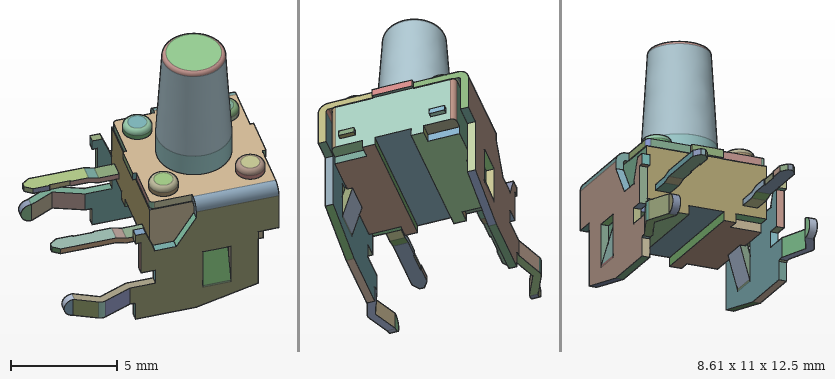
import cadquery as cq
import math


BODY_HALF = 3.1
BODY_BACK_FILLET = 0.25
BASE_NOTCH_WIDTH = 1.8
BODY_BOTTOM = -0.03
BASE_TOP = 0.42
RELIEF_INNER_X = 1.52
RELIEF_INNER_Y = 2.48

SHEET = 0.4
COVER_TOP = 3.5
COVER_BOTTOM = COVER_TOP - SHEET
COVER_HALF = 3.06
COVER_CORNER_RADIUS = 0.2
COVER_TAB_Y = 3.24
FRONT_TAB_WIDTH = 1.62
BACK_TAB_WIDTH = 2.0
BEND_FRONT_Y = -1.0

BRACKET_OUTER_X = 3.73
BRACKET_INNER_X = BRACKET_OUTER_X - SHEET
BEND_RADIUS = 0.53
BRACKET_BOTTOM = -2.96
BRACKET_FRONT_Y = -3.98
BRACKET_BACK_Y = 2.04
BRACKET_STEP_Z = 0.98
BRACKET_SLOPE_Z = -2.22
RECESS_BACK_Y = -3.0
RECESS_TOP = -0.15
HOOK_NECK_Y = -3.71
HOOK_BACK_Y = -3.48
HOOK_BOTTOM = 1.73
HOOK_TOP = 2.26
GAP_FRONT_Y = -3.05
GAP_BACK_Y = -1.98
GAP_BOTTOM = 1.07
GAP_WALL_TOP = 1.17
FRONT_SLOPE_TOP = 2.61
WINDOW_BACK_Y = 0.7
WINDOW_FRONT_Y = -0.68
WINDOW_TOP = 0.41
WINDOW_BOTTOM = -1.79
TONGUE_BEND_HEIGHT = 0.09
TONGUE_BEND_SHIFT = 0.01
TONGUE_TIP_X = 3.1

LEG_HEIGHT = 1.0
LEG_MID_Z = -1.45
LEG_GUSSET = 0.07
LEG_TIP_Y = -7.48
LEG_SPAN = 8.61
LEG_KNEE_X = LEG_SPAN / 2
LEG_KNEE_Y = -5.77
LEG_ROOT_Y = -4.33
LEG_RETURN_Y = -6.95

PLUNGER_DIAMETER = 3.6
PLUNGER_TIP_DIAMETER = 3.0
PLUNGER_TOP = 9.54
PLUNGER_TAPER_Z = 4.65
PLUNGER_FILLET = 0.2
RIVET_DIAMETER = 1.4
RIVET_HEIGHT = 0.48
RIVET_FILLET = 0.25
RIVET_OFFSET = 2.13

PIN_X = 2.25
PIN_WIDTH = 0.76
PIN_THICKNESS = 0.3
PIN_BACK_Z = 0.9
PIN_RISE = 0.14
PIN_BACK_Y = 3.32
PIN_FRONT_Y = -7.68
PIN_JOG_START_Y = -4.1
PIN_JOG_END_Y = -4.6
PIN_TAPER_Y = -7.32
PIN_TIP_WIDTH = 0.24
PIN_RELIEF_DEPTH = 0.05
PIN_RELIEF_START_Y = -5.5
PIN_RELIEF_END_Y = -6.5


def box(x0, x1, y0, y1, z0, z1):
    """Axis-aligned block between two opposite corners."""
    return cq.Workplane("XY").box(x1 - x0, y1 - y0, z1 - z0, centered=False).translate((x0, y0, z0))


def side_profile(sketch, x0, x1):
    """Extrude a closed (y, z) sketch from x0 to x1."""
    return sketch.extrude(x1 - x0).translate((x0, 0, 0))


def mirrored_in_x(shape):
    return shape.union(shape.mirror("YZ"))


def make_body():
    body = box(-BODY_HALF, BODY_HALF, -BODY_HALF, BODY_HALF, BODY_BOTTOM, COVER_BOTTOM)
    body = body.edges("|Z and >Y").fillet(BODY_BACK_FILLET)
    relief = box(RELIEF_INNER_X, BODY_HALF, RELIEF_INNER_Y, BODY_HALF, BODY_BOTTOM, BASE_TOP)
    reliefs = mirrored_in_x(relief.union(relief.mirror("XZ")))
    notch_half = BASE_NOTCH_WIDTH / 2
    notch = box(-notch_half, notch_half, -BODY_HALF, BODY_HALF, BODY_BOTTOM, BASE_TOP)
    return body.cut(reliefs).cut(notch)


def make_cover():
    plate = box(-COVER_HALF, COVER_HALF, -COVER_HALF, COVER_HALF, COVER_BOTTOM, COVER_TOP)
    plate = plate.edges("|Z and <Y").fillet(COVER_CORNER_RADIUS)
    front_half = FRONT_TAB_WIDTH / 2
    back_half = BACK_TAB_WIDTH / 2
    front_tab = box(-front_half, front_half, -COVER_TAB_Y, 0, COVER_BOTTOM, COVER_TOP)
    back_tab = box(-back_half, back_half, 0, COVER_TAB_Y, COVER_BOTTOM, COVER_TOP)
    return plate.union(front_tab).union(back_tab)


def make_bend():
    """Quarter bend that carries the cover sheet down into the right-hand bracket."""
    bend_x = BRACKET_OUTER_X - BEND_RADIUS
    bend_z = COVER_TOP - BEND_RADIUS
    inner_radius = BEND_RADIUS - SHEET
    diagonal = math.sqrt(0.5)
    bend = (
        cq.Workplane("XZ")
        .moveTo(0, COVER_TOP)
        .lineTo(bend_x, COVER_TOP)
        .threePointArc(
            (bend_x + BEND_RADIUS * diagonal, bend_z + BEND_RADIUS * diagonal),
            (BRACKET_OUTER_X, bend_z),
        )
        .lineTo(BRACKET_INNER_X, bend_z)
        .threePointArc(
            (bend_x + inner_radius * diagonal, bend_z + inner_radius * diagonal),
            (bend_x, COVER_BOTTOM),
        )
        .lineTo(0, COVER_BOTTOM)
        .close()
        .extrude(COVER_HALF - BEND_FRONT_Y)
    )
    return bend.translate((0, COVER_HALF, 0))


def make_bracket_plate():
    leg_top = LEG_MID_Z + LEG_HEIGHT / 2
    leg_bottom = LEG_MID_Z - LEG_HEIGHT / 2
    outline = [
        (COVER_HALF, COVER_TOP - BEND_RADIUS),
        (COVER_HALF, BRACKET_STEP_Z),
        (BRACKET_BACK_Y, BRACKET_STEP_Z),
        (BRACKET_BACK_Y, BRACKET_SLOPE_Z),
        (BEND_FRONT_Y, BRACKET_BOTTOM),
        (BRACKET_FRONT_Y, BRACKET_BOTTOM),
        (BRACKET_FRONT_Y, leg_bottom - LEG_GUSSET),
        (BRACKET_FRONT_Y - LEG_GUSSET, leg_bottom),
        (BRACKET_FRONT_Y - LEG_GUSSET, leg_top),
        (RECESS_BACK_Y, leg_top),
        (RECESS_BACK_Y, RECESS_TOP),
        (HOOK_NECK_Y, RECESS_TOP),
        (HOOK_NECK_Y, HOOK_BOTTOM),
        (BRACKET_FRONT_Y, HOOK_BOTTOM),
        (BRACKET_FRONT_Y, HOOK_TOP),
        (HOOK_BACK_Y, HOOK_TOP),
        (GAP_FRONT_Y, GAP_WALL_TOP),
        (GAP_FRONT_Y, GAP_BOTTOM),
        (GAP_BACK_Y, GAP_BOTTOM),
        (BEND_FRONT_Y, FRONT_SLOPE_TOP),
        (BEND_FRONT_Y, COVER_TOP - BEND_RADIUS),
    ]
    plate = side_profile(cq.Workplane("YZ").polyline(outline).close(), BRACKET_INNER_X, BRACKET_OUTER_X)
    window = box(
        BRACKET_INNER_X, BRACKET_OUTER_X, WINDOW_FRONT_Y, WINDOW_BACK_Y, WINDOW_BOTTOM, WINDOW_TOP
    )
    return plate.cut(window)


def make_tongue():
    """Tongue lanced out of the window and bent inwards against the body."""
    bend_top = WINDOW_BOTTOM + TONGUE_BEND_HEIGHT
    outline = [
        (BRACKET_OUTER_X, WINDOW_BOTTOM),
        (BRACKET_OUTER_X - TONGUE_BEND_SHIFT, bend_top),
        (TONGUE_TIP_X, WINDOW_TOP),
        (TONGUE_TIP_X - SHEET, WINDOW_TOP),
        (BRACKET_INNER_X - TONGUE_BEND_SHIFT, bend_top),
        (BRACKET_INNER_X, WINDOW_BOTTOM),
    ]
    tongue = cq.Workplane("XZ").polyline(outline).close().extrude(WINDOW_BACK_Y - WINDOW_FRONT_Y)
    return tongue.translate((0, WINDOW_BACK_Y, 0))


def make_leg():
    """Kinked leg: a bent strip in plan, trimmed to a round-ended bar in side elevation."""
    half_height = LEG_HEIGHT / 2
    knee_inner_x = LEG_KNEE_X - SHEET
    reach = knee_inner_x - BRACKET_INNER_X
    out_angle = math.atan2(reach, LEG_ROOT_Y - LEG_KNEE_Y)
    back_angle = math.atan2(reach, LEG_KNEE_Y - LEG_RETURN_Y)
    root_shift = SHEET * math.tan(out_angle / 2)
    return_shift = SHEET * math.tan(back_angle / 2)
    strip = (
        cq.Workplane("XY")
        .moveTo(BRACKET_INNER_X, RECESS_BACK_Y)
        .lineTo(BRACKET_INNER_X, LEG_ROOT_Y)
        .lineTo(knee_inner_x, LEG_KNEE_Y)
        .lineTo(BRACKET_INNER_X, LEG_RETURN_Y)
        .lineTo(BRACKET_INNER_X, LEG_TIP_Y)
        .lineTo(BRACKET_OUTER_X, LEG_TIP_Y)
        .lineTo(BRACKET_OUTER_X, LEG_RETURN_Y - return_shift)
        .lineTo(
            knee_inner_x + SHEET * math.cos(back_angle),
            LEG_KNEE_Y - SHEET * math.sin(back_angle),
        )
        .threePointArc(
            (LEG_KNEE_X, LEG_KNEE_Y),
            (knee_inner_x + SHEET * math.cos(out_angle), LEG_KNEE_Y + SHEET * math.sin(out_angle)),
        )
        .lineTo(BRACKET_OUTER_X, LEG_ROOT_Y + root_shift)
        .lineTo(BRACKET_OUTER_X, RECESS_BACK_Y)
        .close()
        .extrude(LEG_HEIGHT)
        .translate((0, 0, LEG_MID_Z - half_height))
    )
    tip_centre_y = LEG_TIP_Y + half_height
    elevation = (
        cq.Workplane("YZ")
        .moveTo(RECESS_BACK_Y, LEG_MID_Z + half_height)
        .lineTo(tip_centre_y, LEG_MID_Z + half_height)
        .threePointArc((LEG_TIP_Y, LEG_MID_Z), (tip_centre_y, LEG_MID_Z - half_height))
        .lineTo(RECESS_BACK_Y, LEG_MID_Z - half_height)
        .close()
    )
    return strip.intersect(side_profile(elevation, 0, LEG_KNEE_X))


def make_plunger():
    base = cq.Workplane("XY").workplane(offset=COVER_BOTTOM).circle(PLUNGER_DIAMETER / 2)
    base = base.extrude(PLUNGER_TAPER_Z - COVER_BOTTOM)
    cone = (
        cq.Workplane("XY")
        .workplane(offset=PLUNGER_TAPER_Z)
        .circle(PLUNGER_DIAMETER / 2)
        .workplane(offset=PLUNGER_TOP - PLUNGER_TAPER_Z)
        .circle(PLUNGER_TIP_DIAMETER / 2)
        .loft()
    )
    return base.union(cone).faces(">Z").edges().fillet(PLUNGER_FILLET)


def make_rivets():
    spacing = 2 * RIVET_OFFSET
    rivets = cq.Workplane("XY").workplane(offset=COVER_TOP).rarray(spacing, spacing, 2, 2)
    rivets = rivets.circle(RIVET_DIAMETER / 2).extrude(RIVET_HEIGHT)
    return rivets.faces(">Z").edges().fillet(RIVET_FILLET)


def make_pin():
    """Right-hand pin: jogged in side elevation, pointed and relieved on its inner edge in plan."""
    front_z = PIN_BACK_Z + PIN_RISE
    elevation = [
        (PIN_BACK_Y, PIN_BACK_Z),
        (PIN_JOG_START_Y, PIN_BACK_Z),
        (PIN_JOG_END_Y, front_z),
        (PIN_FRONT_Y, front_z),
        (PIN_FRONT_Y, front_z + PIN_THICKNESS),
        (PIN_JOG_END_Y, front_z + PIN_THICKNESS),
        (PIN_JOG_START_Y, PIN_BACK_Z + PIN_THICKNESS),
        (PIN_BACK_Y, PIN_BACK_Z + PIN_THICKNESS),
    ]
    inner_x = PIN_X - PIN_WIDTH / 2
    outer_x = PIN_X + PIN_WIDTH / 2
    plan = [
        (inner_x, PIN_BACK_Y),
        (outer_x, PIN_BACK_Y),
        (outer_x, PIN_TAPER_Y),
        (PIN_X + PIN_TIP_WIDTH / 2, PIN_FRONT_Y),
        (PIN_X - PIN_TIP_WIDTH / 2, PIN_FRONT_Y),
        (inner_x, PIN_TAPER_Y),
        (inner_x, PIN_RELIEF_END_Y),
        (inner_x + PIN_RELIEF_DEPTH, PIN_RELIEF_END_Y),
        (inner_x + PIN_RELIEF_DEPTH, PIN_RELIEF_START_Y),
        (inner_x, PIN_RELIEF_START_Y),
    ]
    strip = side_profile(cq.Workplane("YZ").polyline(elevation).close(), inner_x, outer_x)
    return strip.intersect(cq.Workplane("XY").polyline(plan).close().extrude(COVER_TOP))


bracket = make_bend().union(make_bracket_plate()).union(make_tongue()).union(make_leg())

result = (
    make_body()
    .union(make_cover())
    .union(mirrored_in_x(bracket))
    .union(mirrored_in_x(make_pin()))
    .union(make_plunger())
    .union(make_rivets())
)